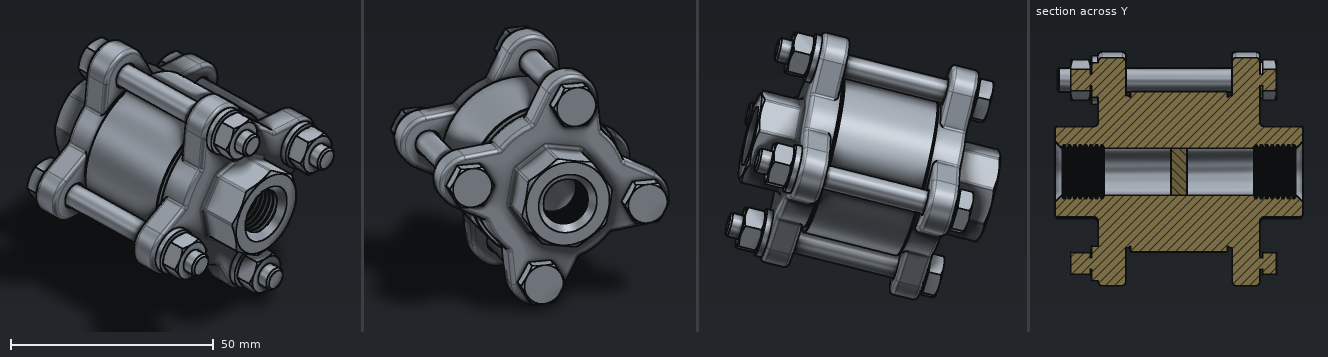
import cadquery as cq
import math

half_length = 30.6
flange_outer_x = 20.0
flange_thickness = 6.95
flange_inner_x = flange_outer_x - flange_thickness

tolerance = 0.01

tube_diameter = 39.7
tube_half_length = 12.0
tube_edge_chamfer = 0.2

turn_angle = 10.5
lug_count = 4
bolt_circle_radius = 23.0
lug_radius = 6.975
lug_half_taper = 16.5
flange_diameter = 37.6
flange_edge_fillet = 1.0
lug_root_fillet = 1.0
spigot_chamfer = 0.4

octagon_sides = 8
octagon_across_flats = 22.0
octagon_corner_fillet = 0.9
octagon_root_fillet = 1.0
octagon_end_diameter = 21.5
octagon_chamfer_angle = 30.0

bore_diameter = 11.5
thread_root_diameter = 13.157
thread_pitch = 1.337
thread_turns = 8
countersink_diameter = 15.0
countersink_depth = 1.75

corner_allowance = 2.0

bolt_hole_diameter = 6.7
bolt_diameter = 6.0
bolt_end_x = 30.0
bolt_end_chamfer = 0.5
hex_sides = 6
hex_across_flats = 10.0
hex_chamfer_angle = 30.0
collar_diameter = 8.88
head_collar_thickness = 0.6
head_thickness = 3.5
washer_diameter = 12.0
washer_thickness = 1.6
nut_collar_thickness = 0.2
nut_thickness = 4.95

disc_thickness = 4.0


def cylinder(diameter, x_start, x_end):
    """Round bar along X."""
    return cq.Workplane("YZ", origin=(x_start, 0, 0)).circle(diameter / 2).extrude(x_end - x_start)


def revolve_about_x(points):
    """Turned body from a closed outline of (x, radius) points."""
    return cq.Workplane("XY").polyline(points).close().revolve(360, (0, 0, 0), (1, 0, 0))


def prism(sides, across_flats, x_start, x_end):
    """Regular prism along X with one pair of flats facing +Z and -Z."""
    corner_diameter = across_flats / math.cos(math.pi / sides)
    return (
        cq.Workplane("YZ", origin=(x_start, 0, 0))
        .transformed(rotate=(0, 0, 90 - 180 / sides))
        .polygon(sides, corner_diameter)
        .extrude(x_end - x_start)
    )


def turned_blank(x_start, x_end, end_radius, slope_angle, both_ends):
    """Bar with a cone at -X, or at both ends: a prism common with it gets its corners chamfered."""
    cone_length = corner_allowance * math.tan(math.radians(slope_angle))
    full_radius = end_radius + corner_allowance
    outline = [(x_start, 0), (x_start, end_radius), (x_start + cone_length, full_radius)]
    if both_ends:
        outline += [(x_end - cone_length, full_radius), (x_end, end_radius)]
    else:
        outline.append((x_end, full_radius))
    outline.append((x_end, 0))
    return revolve_about_x(outline)


def bolt_positions():
    """(y, z) of each bolt axis."""
    angles = [math.radians(turn_angle + i * 360 / lug_count) for i in range(lug_count)]
    return [(bolt_circle_radius * math.cos(a), bolt_circle_radius * math.sin(a)) for a in angles]


def lug():
    """Bolt lug along +Y: a round end with two straight sides that widen inwards."""
    taper = math.radians(lug_half_taper)
    tangent_y = bolt_circle_radius + lug_radius * math.sin(taper)
    tangent_z = lug_radius * math.cos(taper)
    inner_y = flange_diameter / 4
    inner_z = tangent_z + (tangent_y - inner_y) * math.tan(taper)
    return (
        cq.Workplane("YZ", origin=(-flange_outer_x, 0, 0))
        .moveTo(inner_y, -inner_z)
        .lineTo(tangent_y, -tangent_z)
        .threePointArc((bolt_circle_radius + lug_radius, 0), (tangent_y, tangent_z))
        .lineTo(inner_y, inner_z)
        .close()
        .extrude(flange_thickness)
    )


def lies_on_plate_rim(edge):
    """True for the edges where a lug side meets the round rim of its plate."""
    distance = math.hypot(edge.Center().y, edge.Center().z)
    return abs(distance - flange_diameter / 2) < tolerance


def flange_plate():
    """Round plate with its lugs, all outer edges rounded, on the -X side."""
    plate = cylinder(flange_diameter, -flange_outer_x, -flange_inner_x)
    for i in range(lug_count):
        plate = plate.union(lug().rotate((0, 0, 0), (1, 0, 0), turn_angle + i * 360 / lug_count))
    roots = plate.edges("|X").filter(lies_on_plate_rim)
    plate = roots.fillet(lug_root_fillet)
    return plate.faces("<X or >X").edges().fillet(flange_edge_fillet)


def pipe_end():
    """Octagonal pipe end on the -X side, with rounded corners and a conical end chamfer."""
    octagon = prism(octagon_sides, octagon_across_flats, -half_length, -flange_inner_x)
    octagon = octagon.edges("|X").fillet(octagon_corner_fillet)
    blank = turned_blank(-half_length, -flange_inner_x, octagon_end_diameter / 2,
                         octagon_chamfer_angle, both_ends=False)
    return octagon.intersect(blank).rotate((0, 0, 0), (1, 0, 0), turn_angle)


def lies_on_octagon(edge):
    """True for the edges close enough to the X axis to belong to the octagon."""
    distance = math.hypot(edge.Center().y, edge.Center().z)
    return distance < octagon_across_flats / 2 / math.cos(math.pi / octagon_sides) + tolerance


def end_cap():
    """Flange, pipe end and the spigot that meets the tube, on the -X side."""
    cap = flange_plate().union(pipe_end())
    reach = octagon_across_flats
    root_slab = cq.selectors.BoxSelector(
        (-flange_outer_x - tolerance, -reach, -reach),
        (-flange_outer_x + tolerance, reach, reach),
    )
    cap = cap.edges(root_slab).filter(lies_on_octagon).fillet(octagon_root_fillet)
    spigot = cylinder(flange_diameter, -flange_outer_x + flange_edge_fillet, -tube_half_length)
    spigot = spigot.faces(">X").chamfer(spigot_chamfer)
    cap = cap.union(spigot)
    for y, z in bolt_positions():
        hole = cylinder(bolt_hole_diameter, -flange_outer_x, -flange_inner_x)
        cap = cap.cut(hole.translate((0, y, z)))
    return cap


def hexagon(x_start, x_end, both_ends):
    """Hexagon with its corners chamfered at the -X end, or at both ends."""
    blank = turned_blank(x_start, x_end, hex_across_flats / 2, hex_chamfer_angle, both_ends)
    return prism(hex_sides, hex_across_flats, x_start, x_end).intersect(blank)


def bolt_with_nut():
    """Hexagon bolt on the X axis with its washer and nut fitted."""
    head_seat_x = -flange_outer_x - head_collar_thickness
    washer_end_x = flange_outer_x + washer_thickness
    nut_start_x = washer_end_x + nut_collar_thickness
    nut_end_x = nut_start_x + nut_thickness
    shank = cylinder(bolt_diameter, head_seat_x, bolt_end_x).faces(">X").chamfer(bolt_end_chamfer)
    return (
        shank
        .union(hexagon(head_seat_x - head_thickness, head_seat_x, both_ends=False))
        .union(cylinder(collar_diameter, head_seat_x, -flange_outer_x))
        .union(cylinder(washer_diameter, flange_outer_x, washer_end_x))
        .union(cylinder(collar_diameter, washer_end_x, nut_start_x))
        .union(hexagon(nut_start_x, nut_end_x, both_ends=True))
    )


def threaded_bore():
    """Half of the through bore, on the -X side: countersink, ring-shaped thread grooves, plain bore."""
    bore_radius = bore_diameter / 2
    root_radius = thread_root_diameter / 2
    thread_start_x = -half_length + countersink_depth
    land = thread_pitch / 4
    bore = revolve_about_x([
        (-half_length, 0),
        (-half_length, countersink_diameter / 2),
        (thread_start_x, bore_radius),
        (0, bore_radius),
        (0, 0),
    ])
    for turn in range(thread_turns):
        groove_x = thread_start_x + turn * thread_pitch
        bore = bore.union(revolve_about_x([
            (groove_x, 0),
            (groove_x, bore_radius),
            (groove_x + land, root_radius),
            (groove_x + 2 * land, root_radius),
            (groove_x + 3 * land, bore_radius),
            (groove_x + 3 * land, 0),
        ]))
    return bore


def valve_housing():
    """Tube clamped between two end caps by four bolts, with a through bore."""
    housing = cylinder(tube_diameter, -tube_half_length, tube_half_length)
    housing = housing.faces("<X or >X").chamfer(tube_edge_chamfer)
    cap = end_cap()
    housing = housing.union(cap).union(cap.mirror("YZ"))
    bore = threaded_bore()
    housing = housing.cut(bore).cut(bore.mirror("YZ"))
    for y, z in bolt_positions():
        housing = housing.union(bolt_with_nut().translate((0, y, z)))
    return housing


def closing_disc():
    """Plain disc that closes the bore at its middle."""
    return cylinder(bore_diameter, -disc_thickness / 2, disc_thickness / 2)


housing = valve_housing()
disc = closing_disc()
result = cq.Compound.makeCompound([*housing.vals(), disc.val()])